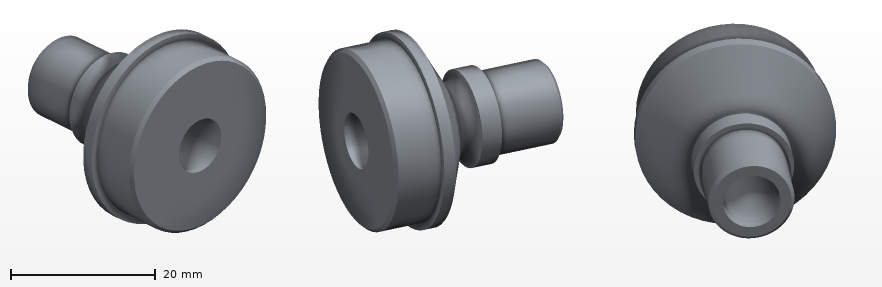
import cadquery as cq
import math

total_length = 29.0
bore_radius = 4.0
spigot_radius = 6.0
spigot_length = 10.0
collar_radius = 7.0
collar_length = 3.0
groove_radius = 1.5
cone_angle = math.radians(60.0)
flange_radius = 14.0
rear_radius = 13.0
rear_length = 7.0
end_chamfer = 0.5

front_x = -total_length / 2
rear_x = total_length / 2
collar_start_x = front_x + spigot_length
collar_end_x = collar_start_x + collar_length
flange_end_x = rear_x - rear_length

groove_center_x = collar_end_x + groove_radius
groove_bottom = (groove_center_x, collar_radius - groove_radius)
cone_start_x = groove_center_x + groove_radius * math.sin(cone_angle)
cone_start_radius = collar_radius - groove_radius * math.cos(cone_angle)
cone_end_x = cone_start_x + (flange_radius - cone_start_radius) / math.tan(cone_angle)

half_section = (
    cq.Workplane("XY")
    .moveTo(front_x, bore_radius)
    .lineTo(front_x, spigot_radius - end_chamfer)
    .lineTo(front_x + end_chamfer, spigot_radius)
    .lineTo(collar_start_x, spigot_radius)
    .lineTo(collar_start_x, collar_radius)
    .lineTo(collar_end_x, collar_radius)
    .threePointArc(groove_bottom, (cone_start_x, cone_start_radius))
    .lineTo(cone_end_x, flange_radius)
    .lineTo(flange_end_x, flange_radius)
    .lineTo(flange_end_x, rear_radius)
    .lineTo(rear_x - end_chamfer, rear_radius)
    .lineTo(rear_x, rear_radius - end_chamfer)
    .lineTo(rear_x, bore_radius)
    .close()
)

result = half_section.revolve(360, (0, 0, 0), (1, 0, 0))